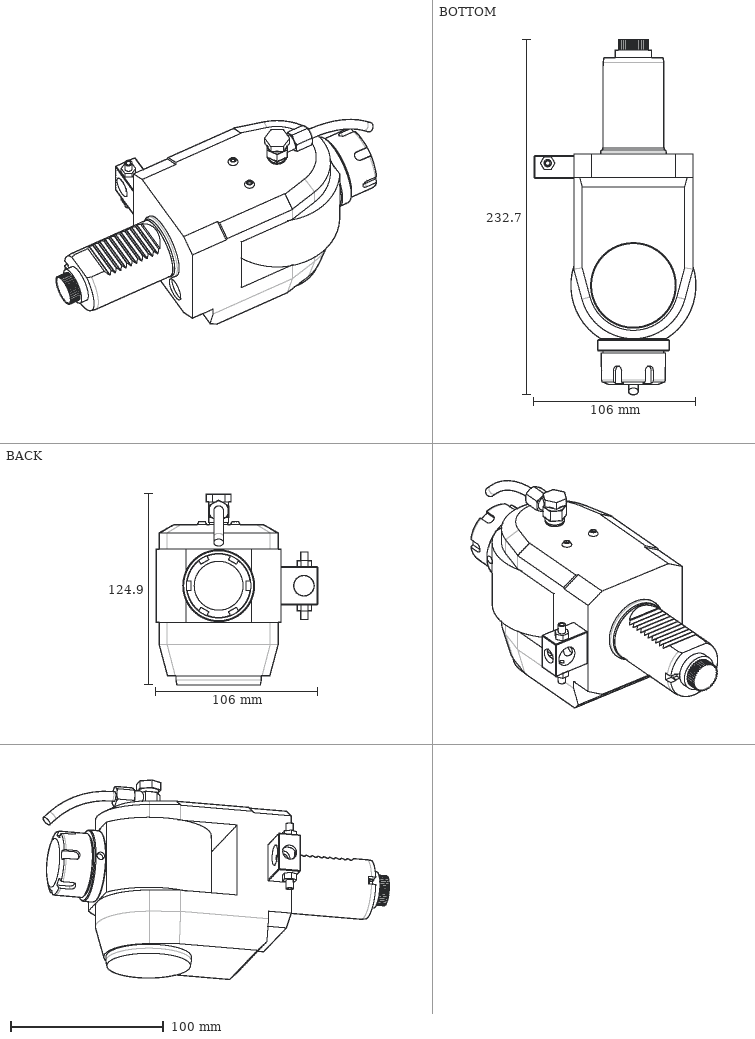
import cadquery as cq
import math


def sin_deg(angle):
    return math.sin(math.radians(angle))


def cos_deg(angle):
    return math.cos(math.radians(angle))


def tan_deg(angle):
    return math.tan(math.radians(angle))



HALF_WIDTH = 39.0
HALF_HEIGHT = 40.0
HEAD_Y = 86.0
NOSE_RADIUS = 34.9
NOSE_ANGLE = 15.0
NOSE_Y = HEAD_Y + NOSE_RADIUS
FLANK_Y = HEAD_Y + (NOSE_RADIUS - HALF_WIDTH * cos_deg(NOSE_ANGLE)) / sin_deg(NOSE_ANGLE)
BEVEL_ANGLE = 30.0
REAR_BEVEL = 11.55
SIDE_BEVEL = 10.0
NOSE_BEVEL = 9.3
REAR_BEVEL_END_Y = 25.4
BEVEL_STEP = (REAR_BEVEL - SIDE_BEVEL) * sin_deg(BEVEL_ANGLE)
FLANGE_THICKNESS = 15.5
DRAFT_TOP_Z = -38.5
BOTTOM_Z = -59.0
HEEL_CHAMFER = 6.0
SLOT_HALF_HEIGHT = 24.0
SLOT_REAR_Y = 36.8
DISC_RADIUS = 41.0
PLUG_X = 16.0
PLUG_Z = -28.0
PLUG_RADIUS = 7.5
PLUG_DEPTH = 2.0

COVER_RADIUS = 28.0
COVER_END_RADIUS = 27.4
COVER_CONE_Z = -61.7
COVER_END_Z = -65.0

SHANK_RADIUS = 20.0
SHANK_LENGTH = 63.0
SHANK_CHAMFER_LENGTH = 3.0
SHANK_END_RADIUS = 19.5
COLLAR_RADIUS = 21.5
COLLAR_LENGTH = 2.6
COLLAR_FILLET = 1.2
SHOULDER_RADIUS = 20.2
SHOULDER_LENGTH = 4.0
RACK_PITCH = 4.0
RACK_VALLEYS = 10
RACK_VALLEY_Z = 14.4
RACK_LAND = 0.3
RACK_RUN_IN = 1.0
RACK_FIRST_Y = -11.8
RACK_FLAT_Z = 16.8
PILOT_RADIUS = 12.0
PILOT_END_Y = -68.0
SPLINE_RADIUS = 9.9
SPLINE_END_Y = -75.0
SPLINE_GROOVES = 36
SPLINE_DEPTH = 0.7
KEYWAY_WIDTH = 5.0
KEYWAY_DEPTH = 5.0
KEYWAY_STEP_X = -15.1
KEYWAY_INNER_WIDTH = 3.6
KEYWAY_INNER_DEPTH = 3.0

RING_RADIUS = 23.5
RING_START_Y = 121.4
RING_END_Y = 129.0
RING_CHAMFER = 0.6
NECK_RADIUS = 20.0
NUT_RADIUS = 21.1
NUT_START_Y = 130.1
NUT_CHAMFER_Y = 148.0
NUT_END_Y = 149.2
NUT_END_RADIUS = 20.8
NUT_FACE_Y = 151.0
NUT_FACE_RADIUS = 16.0
NUT_SLOTS = 6
NUT_SLOT_WIDTH = 6.0
NUT_SLOT_LENGTH = 10.5
NUT_SLOT_FLOOR_RADIUS = 18.0
RING_HOLE_RADIUS = 2.5
RING_HOLE_DEPTH = 4.0

BRACKET_END_X = -64.99
BRACKET_HALF_HEIGHT = 12.5
BRACKET_REAR_Y = 1.0
BRACKET_FRONT_Y = 16.0
BORE_X = -55.8
BORE_RADIUS = 6.6
SIDE_BORE_RADIUS = 4.75
FEED_RADIUS = 1.7
FEED_END_X = -30.0
BRACKET_CHAMFER = 0.5
SIDE_BORE_END_X = -46.0
NIPPLE_X = -56.1
NIPPLE_Y = 6.0
NIPPLE_PASSAGE_RADIUS = 1.5
NIPPLE_HEX_FLATS = 8.2
NIPPLE_HEX_HEIGHT = 4.0
NIPPLE_RADIUS = 2.4
NIPPLE_END_Z = 22.2

BANJO_RADIUS = 6.5
BANJO_BASE_RADIUS = 6.0
BANJO_BASE_HEIGHT = 1.3
BANJO_HEX_FLATS = 13.4
BANJO_HEX_LOW_Z = 44.6
BANJO_HEX_HIGH_Z = 52.3
BOLT_FLATS = 14.2
BOLT_LOW_Z = 54.8
BOLT_HIGH_Z = 59.9
OUTLET_Z = 49.0
OUTLET_RADIUS = 5.0
UNION_FLATS = 12.2
UNION_START_Y = 97.0
UNION_END_Y = 109.2
HEX_CORNER_CHAMFER = 0.7
PIPE_RADIUS = 3.2
PIPE_BEND_START_Y = 110.6
PIPE_BEND_ANGLE = 45.0
PIPE_TIP_LENGTH = 5.3
PIPE_REACH_Y = 157.67

SCREW_X = 10.9
SCREW_Y = 59.0
SCREW_RADIUS = 3.2
SCREW_TOP_RADIUS = 2.0
SCREW_HEIGHT = 2.1
SCREW_SOCKET_FLATS = 2.5
SCREW_SOCKET_DEPTH = 1.2

OVERCUT = 10.0
OVERLAP = 1.0
EXTENT = 100.0
HEX_HALF_ANGLE = 30.0


def box(x0, x1, y0, y1, z0, z1):
    return cq.Workplane("XY").box(x1 - x0, y1 - y0, z1 - z0, centered=False).translate((x0, y0, z0))


def z_cylinder(x, y, radius, z0, z1):
    return cq.Workplane("XY").center(x, y).circle(radius).extrude(z1 - z0).translate((0, 0, z0))


def y_cylinder(x, z, radius, y0, y1):
    return cq.Workplane("XZ", origin=(x, y1, z)).circle(radius).extrude(y1 - y0)


def x_cylinder(y, z, radius, x0, x1):
    return cq.Workplane("YZ", origin=(x0, y, z)).circle(radius).extrude(x1 - x0)


def z_hexagon(x, y, flats, z0, z1, turn=0.0):
    """Hexagonal prism along Z; its corners point along X unless turned."""
    prism = cq.Workplane("XY").polygon(6, flats / cos_deg(HEX_HALF_ANGLE)).extrude(z1 - z0)
    return prism.rotate((0, 0, 0), (0, 0, 1), turn).translate((x, y, z0))


def y_revolve(points):
    """Solid of revolution about the Y axis from (radius, y) points."""
    return cq.Workplane("XY").polyline(points).close().revolve(360, (0, 0, 0), (0, 1, 0))


def housing_outline(z, rear_y):
    """Plan outline of the housing: straight sides, angled flanks and a round nose."""
    tangent_x = NOSE_RADIUS * cos_deg(NOSE_ANGLE)
    tangent_y = HEAD_Y + NOSE_RADIUS * sin_deg(NOSE_ANGLE)
    return (
        cq.Workplane("XY", origin=(0, 0, z))
        .moveTo(-HALF_WIDTH, rear_y)
        .lineTo(HALF_WIDTH, rear_y)
        .lineTo(HALF_WIDTH, FLANK_Y)
        .lineTo(tangent_x, tangent_y)
        .threePointArc((0, NOSE_Y), (-tangent_x, tangent_y))
        .lineTo(-HALF_WIDTH, FLANK_Y)
        .close()
    )


def edge_bevel_section(width, y, side, level):
    """Triangle, in the plane at y, over one long edge of the housing.

    Its long side is the bevel; side is -1 or 1 in X, level is -1 or 1 in Z.
    """
    inner_x = side * (HALF_WIDTH - width - OVERCUT)
    outer_x = side * (HALF_WIDTH + OVERCUT)
    top_z = level * (HALF_HEIGHT + OVERCUT * tan_deg(BEVEL_ANGLE))
    low_z = level * (HALF_HEIGHT - (width + OVERCUT) * tan_deg(BEVEL_ANGLE))
    section = cq.Workplane("XZ", origin=(0, y, 0))
    return section.polyline([(inner_x, top_z), (outer_x, low_z), (outer_x, top_z)]).close()


def edge_bevel(width, y0, y1, side, level):
    return edge_bevel_section(width, y1, side, level).extrude(y1 - y0)


def edge_bevel_step(y, side):
    """Sloping step from the rear bevel up to the shallower side bevel."""
    return edge_bevel_section(REAR_BEVEL, y, side, 1).extrude(-BEVEL_STEP, taper=45)


def make_housing():
    bevel_drop = NOSE_BEVEL * tan_deg(BEVEL_ANGLE)
    shoulder_z = HALF_HEIGHT - bevel_drop
    body = housing_outline(DRAFT_TOP_Z, 0).extrude(shoulder_z - DRAFT_TOP_Z)
    rear_y = -2 * OVERCUT
    body = body.union(housing_outline(shoulder_z, rear_y).extrude(bevel_drop, taper=90 - BEVEL_ANGLE))
    body = body.union(
        housing_outline(DRAFT_TOP_Z, rear_y).extrude(BOTTOM_Z - DRAFT_TOP_Z, taper=NOSE_ANGLE)
    )
    body = body.cut(box(-DISC_RADIUS, DISC_RADIUS, 2 * rear_y, FLANGE_THICKNESS, -EXTENT, EXTENT))

    flange = box(-HALF_WIDTH, HALF_WIDTH, 0, FLANGE_THICKNESS, -HALF_HEIGHT, HALF_HEIGHT)
    flange = flange.union(box(-HALF_WIDTH, HALF_WIDTH, 0, REAR_BEVEL_END_Y + BEVEL_STEP, 0, HALF_HEIGHT))
    body = body.union(flange)
    for side in (-1, 1):
        body = body.cut(edge_bevel(REAR_BEVEL, -OVERLAP, REAR_BEVEL_END_Y, side, 1))
        body = body.cut(edge_bevel_step(REAR_BEVEL_END_Y, side))
        body = body.cut(edge_bevel(SIDE_BEVEL, REAR_BEVEL_END_Y, FLANK_Y, side, 1))
        body = body.cut(edge_bevel(REAR_BEVEL, -OVERLAP, FLANGE_THICKNESS, side, -1))

    heel = (
        cq.Workplane("YZ", origin=(-DISC_RADIUS, 0, 0))
        .moveTo(FLANGE_THICKNESS, BOTTOM_Z)
        .lineTo(FLANGE_THICKNESS + HEEL_CHAMFER, BOTTOM_Z)
        .lineTo(FLANGE_THICKNESS, BOTTOM_Z + HEEL_CHAMFER)
        .close()
        .extrude(2 * DISC_RADIUS)
    )
    body = body.cut(heel)

    body = body.cut(
        box(-DISC_RADIUS, DISC_RADIUS, SLOT_REAR_Y, NOSE_Y + OVERLAP, -SLOT_HALF_HEIGHT, SLOT_HALF_HEIGHT)
    )
    disc = z_cylinder(0, HEAD_Y, DISC_RADIUS, -SLOT_HALF_HEIGHT, SLOT_HALF_HEIGHT)
    disc = disc.intersect(box(-EXTENT, EXTENT, 0, NOSE_Y, -EXTENT, EXTENT))
    body = body.union(disc)
    return body.cut(y_cylinder(PLUG_X, PLUG_Z, PLUG_RADIUS, -OVERLAP, PLUG_DEPTH))


def make_cover():
    profile = [
        (0, BOTTOM_Z + OVERLAP),
        (COVER_RADIUS, BOTTOM_Z + OVERLAP),
        (COVER_RADIUS, COVER_CONE_Z),
        (COVER_END_RADIUS, COVER_END_Z),
        (0, COVER_END_Z),
    ]
    cover = cq.Workplane("XZ").polyline(profile).close().revolve(360, (0, 0, 0), (0, 1, 0))
    return cover.translate((0, HEAD_Y, 0))


def make_shank():
    shank = y_revolve(
        [
            (0, OVERLAP),
            (SHOULDER_RADIUS, OVERLAP),
            (SHOULDER_RADIUS, -SHOULDER_LENGTH),
            (SHANK_RADIUS, -SHOULDER_LENGTH),
            (SHANK_RADIUS, SHANK_CHAMFER_LENGTH - SHANK_LENGTH),
            (SHANK_END_RADIUS, -SHANK_LENGTH),
            (PILOT_RADIUS, -SHANK_LENGTH),
            (PILOT_RADIUS, PILOT_END_Y),
            (SPLINE_RADIUS, PILOT_END_Y),
            (SPLINE_RADIUS, SPLINE_END_Y),
            (0, SPLINE_END_Y),
        ]
    )
    collar = y_cylinder(0, 0, COLLAR_RADIUS, -COLLAR_LENGTH, OVERLAP)
    shank = shank.union(collar.faces("<Y").edges().fillet(COLLAR_FILLET))
    shank = shank.cut(make_rack_cutter())
    shank = shank.cut(keyway_cutter(-SHANK_RADIUS - OVERLAP, KEYWAY_STEP_X, KEYWAY_WIDTH, KEYWAY_DEPTH))
    shank = shank.cut(
        keyway_cutter(KEYWAY_STEP_X, -PILOT_RADIUS, KEYWAY_INNER_WIDTH, KEYWAY_INNER_DEPTH)
    )
    groove_radius = SPLINE_RADIUS + SPLINE_DEPTH
    groove = (
        cq.Workplane("XZ", origin=(0, PILOT_END_Y, 0))
        .moveTo(SPLINE_RADIUS - SPLINE_DEPTH, 0)
        .lineTo(groove_radius, 2 * SPLINE_DEPTH)
        .lineTo(groove_radius, -2 * SPLINE_DEPTH)
        .close()
        .extrude(PILOT_END_Y - SPLINE_END_Y)
    )
    for index in range(SPLINE_GROOVES):
        shank = shank.cut(groove.rotate((0, 0, 0), (0, 1, 0), index * 360 / SPLINE_GROOVES))
    return shank


def keyway_cutter(x0, x1, width, depth):
    """Slot in the end face of the shank."""
    return box(x0, x1, -SHANK_LENGTH - OVERLAP, depth - SHANK_LENGTH, -width / 2, width / 2)


def make_rack_cutter():
    """Body above the toothed flat: 45 degree teeth, then a plain flat to the end of the shank."""
    tooth_height = RACK_PITCH / 2 - RACK_LAND
    crest_z = RACK_VALLEY_Z + tooth_height
    top_z = SHANK_RADIUS + OVERLAP
    half_land = RACK_LAND / 2
    run_in_y = RACK_FIRST_Y + half_land + tooth_height + RACK_RUN_IN
    points = [(run_in_y + top_z - crest_z, top_z), (run_in_y, crest_z)]
    for index in range(RACK_VALLEYS):
        valley_y = RACK_FIRST_Y - index * RACK_PITCH
        points.append((valley_y + half_land + tooth_height, crest_z))
        points.append((valley_y + half_land, RACK_VALLEY_Z))
        points.append((valley_y - half_land, RACK_VALLEY_Z))
        if index < RACK_VALLEYS - 1:
            points.append((valley_y - half_land - tooth_height, crest_z))
    last_y = points[-1][0]
    points.append((last_y - (RACK_FLAT_Z - RACK_VALLEY_Z), RACK_FLAT_Z))
    points.append((-SHANK_LENGTH, RACK_FLAT_Z))
    points.append((-SHANK_LENGTH, top_z))
    cutter = cq.Workplane("YZ", origin=(-SHANK_RADIUS, 0, 0)).polyline(points).close()
    return cutter.extrude(2 * SHANK_RADIUS)


def make_collet_nut():
    nut = y_revolve(
        [
            (0, NOSE_Y - OVERLAP),
            (NECK_RADIUS, NOSE_Y - OVERLAP),
            (NECK_RADIUS, RING_START_Y),
            (RING_RADIUS - RING_CHAMFER, RING_START_Y),
            (RING_RADIUS, RING_START_Y + RING_CHAMFER),
            (RING_RADIUS, RING_END_Y - RING_CHAMFER),
            (RING_RADIUS - RING_CHAMFER, RING_END_Y),
            (NECK_RADIUS, RING_END_Y),
            (NECK_RADIUS, NUT_START_Y),
            (NUT_RADIUS, NUT_START_Y),
            (NUT_RADIUS, NUT_CHAMFER_Y),
            (NUT_END_RADIUS, NUT_END_Y),
            (NUT_FACE_RADIUS, NUT_FACE_Y),
            (0, NUT_FACE_Y),
        ]
    )
    round_y = NUT_END_Y - NUT_SLOT_LENGTH + NUT_SLOT_WIDTH / 2
    slot = box(
        -NUT_RADIUS - OVERLAP, -NUT_SLOT_FLOOR_RADIUS,
        round_y, NUT_FACE_Y + OVERLAP,
        -NUT_SLOT_WIDTH / 2, NUT_SLOT_WIDTH / 2,
    )
    slot = slot.union(
        x_cylinder(round_y, 0, NUT_SLOT_WIDTH / 2, -NUT_RADIUS - OVERLAP, -NUT_SLOT_FLOOR_RADIUS)
    )
    for index in range(NUT_SLOTS):
        nut = nut.cut(slot.rotate((0, 0, 0), (0, 1, 0), index * 360 / NUT_SLOTS))
    hole_y = (RING_START_Y + RING_END_Y) / 2
    return nut.cut(
        x_cylinder(hole_y, 0, RING_HOLE_RADIUS, -RING_RADIUS - OVERLAP, RING_HOLE_DEPTH - RING_RADIUS)
    )


def make_bracket():
    bracket = box(
        BRACKET_END_X, -HALF_WIDTH + OVERLAP,
        BRACKET_REAR_Y, BRACKET_FRONT_Y,
        -BRACKET_HALF_HEIGHT, BRACKET_HALF_HEIGHT,
    )
    bracket = bracket.edges("|X or <X").chamfer(BRACKET_CHAMFER)
    hexagon_top_z = BRACKET_HALF_HEIGHT + NIPPLE_HEX_HEIGHT
    nipple = z_hexagon(NIPPLE_X, NIPPLE_Y, NIPPLE_HEX_FLATS, BRACKET_HALF_HEIGHT - OVERLAP, hexagon_top_z)
    nipple = nipple.union(
        z_cylinder(NIPPLE_X, NIPPLE_Y, NIPPLE_RADIUS, BRACKET_HALF_HEIGHT, NIPPLE_END_Z)
    )
    return bracket.union(nipple).union(nipple.mirror("XY"))


def cut_bracket_bores(body):
    middle_y = (BRACKET_REAR_Y + BRACKET_FRONT_Y) / 2
    body = body.cut(y_cylinder(BORE_X, 0, BORE_RADIUS, BRACKET_REAR_Y - OVERLAP, BRACKET_FRONT_Y + OVERLAP))
    body = body.cut(x_cylinder(middle_y, 0, SIDE_BORE_RADIUS, BRACKET_END_X - OVERLAP, SIDE_BORE_END_X))
    body = body.cut(
        z_cylinder(NIPPLE_X, NIPPLE_Y, NIPPLE_PASSAGE_RADIUS, -NIPPLE_END_Z - OVERLAP, NIPPLE_END_Z + OVERLAP)
    )
    return body.cut(x_cylinder(middle_y, 0, FEED_RADIUS, SIDE_BORE_END_X - OVERLAP, FEED_END_X))


def make_coolant_pipe():
    base_top_z = HALF_HEIGHT + BANJO_BASE_HEIGHT
    fitting = z_cylinder(0, HEAD_Y, BANJO_BASE_RADIUS, HALF_HEIGHT - OVERLAP, base_top_z + OVERLAP)
    fitting = fitting.union(z_cylinder(0, HEAD_Y, BANJO_RADIUS, base_top_z, BOLT_LOW_Z + OVERLAP))
    fitting = fitting.union(
        z_hexagon(0, HEAD_Y, BANJO_HEX_FLATS, BANJO_HEX_LOW_Z, BANJO_HEX_HIGH_Z, turn=HEX_HALF_ANGLE)
    )
    fitting = fitting.union(z_hexagon(0, HEAD_Y, BOLT_FLATS, BOLT_LOW_Z, BOLT_HIGH_Z))
    fitting = fitting.union(y_cylinder(0, OUTLET_Z, OUTLET_RADIUS, HEAD_Y, UNION_START_Y + OVERLAP))
    union_nut = (
        cq.Workplane("XZ", origin=(0, UNION_END_Y, OUTLET_Z))
        .transformed(rotate=(0, 0, 90))
        .polygon(6, UNION_FLATS / cos_deg(HEX_HALF_ANGLE))
        .extrude(UNION_END_Y - UNION_START_Y)
    )
    union_envelope = (
        y_cylinder(0, OUTLET_Z, UNION_FLATS / 2 / cos_deg(HEX_HALF_ANGLE), UNION_START_Y, UNION_END_Y)
        .edges("%CIRCLE")
        .chamfer(HEX_CORNER_CHAMFER)
    )
    fitting = fitting.union(union_nut.intersect(union_envelope))

    tip_rise = PIPE_TIP_LENGTH * cos_deg(PIPE_BEND_ANGLE) + PIPE_RADIUS * sin_deg(PIPE_BEND_ANGLE)
    bend_radius = (PIPE_REACH_Y - PIPE_BEND_START_Y - tip_rise) / sin_deg(PIPE_BEND_ANGLE)

    def bend_point(angle):
        return (
            PIPE_BEND_START_Y + bend_radius * sin_deg(angle),
            OUTLET_Z - bend_radius * (1 - cos_deg(angle)),
        )

    bend_end = bend_point(PIPE_BEND_ANGLE)
    path = (
        cq.Workplane("YZ")
        .moveTo(UNION_END_Y - OVERLAP, OUTLET_Z)
        .lineTo(PIPE_BEND_START_Y, OUTLET_Z)
        .threePointArc(bend_point(PIPE_BEND_ANGLE / 2), bend_end)
        .lineTo(
            bend_end[0] + PIPE_TIP_LENGTH * cos_deg(PIPE_BEND_ANGLE),
            bend_end[1] - PIPE_TIP_LENGTH * sin_deg(PIPE_BEND_ANGLE),
        )
    )
    pipe = cq.Workplane("XZ", origin=(0, UNION_END_Y - OVERLAP, OUTLET_Z)).circle(PIPE_RADIUS).sweep(path)
    return fitting.union(pipe)


def make_screw(x):
    screw = (
        cq.Workplane("XZ")
        .moveTo(0, -OVERLAP)
        .lineTo(SCREW_RADIUS, -OVERLAP)
        .lineTo(SCREW_RADIUS, 0)
        .lineTo(SCREW_TOP_RADIUS, SCREW_HEIGHT)
        .lineTo(0, SCREW_HEIGHT)
        .close()
        .revolve(360, (0, 0, 0), (0, 1, 0))
    )
    socket = z_hexagon(0, 0, SCREW_SOCKET_FLATS, SCREW_HEIGHT - SCREW_SOCKET_DEPTH, SCREW_HEIGHT + OVERLAP)
    return screw.cut(socket).translate((x, SCREW_Y, HALF_HEIGHT))


body = make_housing()
body = body.union(make_cover())
body = body.union(make_shank())
body = body.union(make_collet_nut())
body = body.union(make_bracket())
body = body.union(make_coolant_pipe())
for screw_x in (-SCREW_X, SCREW_X):
    body = body.union(make_screw(screw_x))
result = cut_bracket_bores(body)